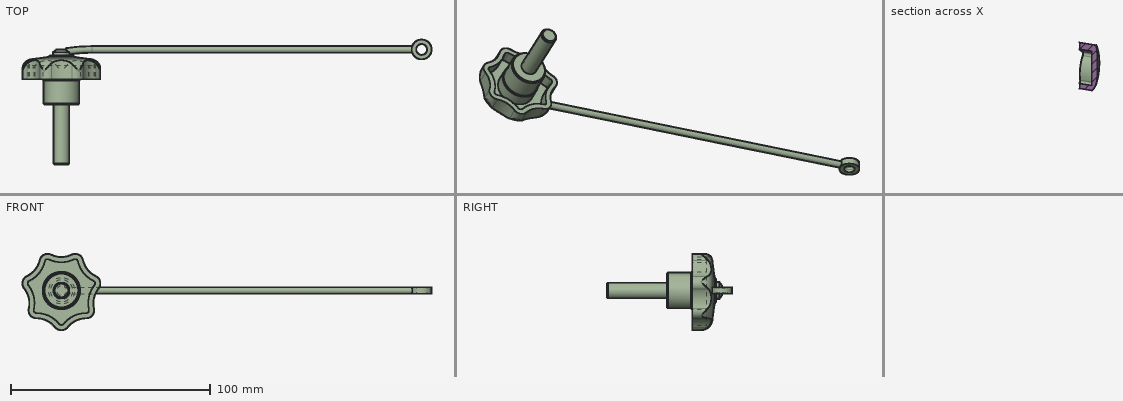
import cadquery as cq
import math

lobe_count = 7
lobe_radius = 4.1
knob_height = 38.5
lobe_centre_radius = (knob_height - 2 * lobe_radius) / (1 + math.cos(math.pi / lobe_count))
valley_radius = 16.9
rim_height = 4.1
shoulder_radius = 14.0
shoulder_height = 10.3
crown_radius = 6.5
crown_height = 11.3
knob_blank_radius = lobe_centre_radius + lobe_radius
wall = 2.7
recess_depth = 7.0

collar_diameter = 19.0
collar_taper = 0.6
hub_diameter = 18.0
hub_length = 12.7
stud_diameter = 8.0
edge_chamfer = 0.6

boss_radius = 5.5
boss_top = 12.1
washer_diameter = 8.6
washer_top = 13.5
button_radius = 2.5
button_top = 15.0

strap_diameter = 3.5
strap_height = 15.0
bend_start_x = 2.5
bend_start_height = 14.0
bend_end_slope = 0.15
straight_start_x = 15.2
ring_diameter = 10.0
ring_hole_diameter = 5.3
overall_length = 205.5
overall_depth = 63.0
knob_left_reach = lobe_centre_radius * math.cos(math.pi / (2 * lobe_count)) + lobe_radius
ring_x = overall_length - knob_left_reach - ring_diameter / 2
stud_reach = overall_depth - strap_height - ring_diameter / 2


def polar(radius, angle):
    return (radius * math.cos(angle), radius * math.sin(angle))


def star_prism(inset, height):
    """Lobed outline moved inward by inset, extruded from y = 0 toward +Y."""
    pitch = 2 * math.pi / lobe_count
    first_lobe = -math.pi / 2
    lobe_along = lobe_centre_radius * math.cos(pitch / 2)
    root = valley_radius - lobe_radius
    valley_centre = (lobe_centre_radius**2 - root**2) / (2 * (lobe_along - root))
    valley_arc = valley_centre - valley_radius
    lobe_share = valley_arc / (valley_arc + lobe_radius)
    along = valley_centre + (lobe_along - valley_centre) * lobe_share
    across = lobe_centre_radius * math.sin(pitch / 2) * lobe_share
    tangent_radius = math.hypot(along, across)
    tangent_angle = pitch / 2 - math.atan2(across, along)

    outline = cq.Workplane("XZ").moveTo(*polar(tangent_radius, first_lobe - tangent_angle))
    for i in range(lobe_count):
        lobe = first_lobe + i * pitch
        outline = outline.threePointArc(
            polar(lobe_centre_radius + lobe_radius, lobe),
            polar(tangent_radius, lobe + tangent_angle),
        )
        outline = outline.threePointArc(
            polar(valley_radius, lobe + pitch / 2),
            polar(tangent_radius, lobe + pitch - tangent_angle),
        )
    outline = outline.close()
    if inset:
        outline = outline.offset2D(-inset)
    return outline.extrude(-height)


def cylinder(diameter, start, end):
    """Cylinder on the knob axis between two y positions."""
    return cq.Workplane("XZ", origin=(0, start, 0)).circle(diameter / 2).extrude(start - end)


def revolve_about_y(profile):
    return profile.close().revolve(360, (0, 0, 0), (0, 1, 0))


def make_knob():
    shoulder_mid = (
        shoulder_radius + (knob_blank_radius - shoulder_radius) * math.sin(math.pi / 4),
        rim_height + (shoulder_height - rim_height) * math.sin(math.pi / 4),
    )
    blank = revolve_about_y(
        cq.Workplane("XY")
        .lineTo(knob_blank_radius, 0)
        .lineTo(knob_blank_radius, rim_height)
        .threePointArc(shoulder_mid, (shoulder_radius, shoulder_height))
        .lineTo(crown_radius, crown_height)
        .lineTo(0, crown_height)
    )
    return star_prism(0, crown_height).intersect(blank).cut(star_prism(wall, recess_depth))


def make_hub():
    collar_radius = collar_diameter / 2
    hub_radius = hub_diameter / 2
    return revolve_about_y(
        cq.Workplane("XY")
        .moveTo(0, recess_depth)
        .lineTo(collar_radius, recess_depth)
        .lineTo(collar_radius, 0)
        .lineTo(hub_radius, -collar_taper)
        .lineTo(hub_radius, edge_chamfer - hub_length)
        .lineTo(hub_radius - edge_chamfer, -hub_length)
        .lineTo(0, -hub_length)
    )


def make_stud():
    return cylinder(stud_diameter, -stud_reach, -hub_length).faces("<Y").chamfer(edge_chamfer)


def make_button():
    washer_radius = washer_diameter / 2
    return revolve_about_y(
        cq.Workplane("XY")
        .moveTo(0, crown_height)
        .lineTo(crown_radius, crown_height)
        .lineTo(boss_radius, boss_top)
        .lineTo(washer_radius, boss_top)
        .lineTo(washer_radius, washer_top)
        .lineTo(button_radius, button_top)
        .lineTo(0, button_top)
    )


def make_strap():
    path = (
        cq.Workplane("XY")
        .moveTo(straight_start_x, strap_height)
        .spline(
            [(bend_start_x, bend_start_height)],
            tangents=[(-1, 0), (-1, -bend_end_slope)],
            includeCurrent=True,
        )
    )
    section_plane = cq.Workplane("YZ", origin=(straight_start_x, strap_height, 0))
    straight = section_plane.circle(strap_diameter / 2).extrude(ring_x - straight_start_x)
    bend = section_plane.circle(strap_diameter / 2).sweep(path)
    ring_plane = cq.Workplane("XY", origin=(ring_x, strap_height, 0))
    ring = ring_plane.circle(ring_diameter / 2).extrude(strap_diameter / 2, both=True)
    hole = ring_plane.circle(ring_hole_diameter / 2).extrude(strap_diameter, both=True)
    return straight.union(bend).union(ring).cut(hole)


result = make_knob().union(make_hub()).union(make_stud()).union(make_button()).union(make_strap())